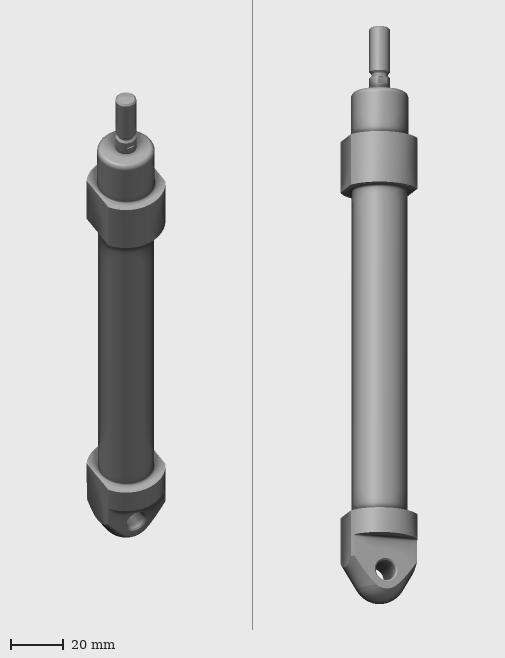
import cadquery as cq
import math

total_height = 225.8
block_radius = 15.02
front_flat = 12.5
back_flat = 13.5

rear_shoulder_z = 24.2
rear_block_top_z = 33.9
head_block_bottom_z = 161.7
head_block_top_z = 181.5
nose_top_z = 200.3

tube_diameter = 21.2
nose_diameter = 22.0
nose_fillet = 2.0
block_root_fillet = 0.7

tang_thickness = 16.0
tang_root_fillet = 0.7
dome_radius = 10.2
cone_half_angle = math.radians(30)
pivot_z = 11.3
pivot_diameter = 8.0
pivot_mouth_diameter = 9.0

rod_diameter = 8.0
rod_tip_chamfer = 0.7
groove_diameter = 6.3
groove_bottom_z = 206.0
groove_top_z = 208.5
wrench_flat_width = 7.0
wrench_flat_bottom_z = 203.2


def disc(diameter, bottom_z, top_z):
    """Round bar on the Z axis."""
    return cq.Workplane("XY").workplane(offset=bottom_z).circle(diameter / 2).extrude(top_z - bottom_z)


def box_between(width, bottom_z, top_z):
    """Slab of the given X width that reaches from one Y flat to the other."""
    return (
        cq.Workplane("XY")
        .workplane(offset=bottom_z)
        .center(0, (back_flat - front_flat) / 2)
        .rect(width, front_flat + back_flat)
        .extrude(top_z - bottom_z)
    )


def flatted_block(bottom_z, top_z):
    """Round block with a flat on its -Y and +Y sides."""
    slab = box_between(2 * block_radius, bottom_z, top_z)
    return disc(2 * block_radius, bottom_z, top_z).intersect(slab)


def domed_blank():
    """Block-sized bar whose lower end is a cone rounded off by a tangent sphere."""
    tangent_r = dome_radius * math.cos(cone_half_angle)
    tangent_z = dome_radius * (1 - math.sin(cone_half_angle))
    cone_top_z = tangent_z + (block_radius - tangent_r) / math.tan(cone_half_angle)
    mid_angle = (math.pi / 2 - cone_half_angle) / 2
    arc_middle = (dome_radius * math.sin(mid_angle), dome_radius * (1 - math.cos(mid_angle)))
    return (
        cq.Workplane("XZ")
        .moveTo(0, 0)
        .threePointArc(arc_middle, (tangent_r, tangent_z))
        .lineTo(block_radius, cone_top_z)
        .lineTo(block_radius, rear_block_top_z)
        .lineTo(0, rear_block_top_z)
        .close()
        .revolve(360, (0, 0), (0, 1))
    )


def tang_slab():
    """Tang cross-section with concave fillets where it meets the rear block."""
    half = tang_thickness / 2
    root = half + tang_root_fillet
    fillet_bottom_z = rear_shoulder_z - tang_root_fillet
    bulge = tang_root_fillet * (1 - math.sqrt(0.5))
    return (
        cq.Workplane("XZ", origin=(0, back_flat, 0))
        .moveTo(-half, 0)
        .lineTo(half, 0)
        .lineTo(half, fillet_bottom_z)
        .threePointArc((half + bulge, rear_shoulder_z - bulge), (root, rear_shoulder_z))
        .lineTo(-root, rear_shoulder_z)
        .threePointArc((-half - bulge, rear_shoulder_z - bulge), (-half, fillet_bottom_z))
        .close()
        .extrude(front_flat + back_flat)
    )


def pivot_hole():
    """Cross hole along X with a chamfered mouth on each side of the tang."""
    chamfer = (pivot_mouth_diameter - pivot_diameter) / 2
    half = tang_thickness / 2
    return (
        cq.Workplane("XY")
        .moveTo(0, -half)
        .lineTo(pivot_mouth_diameter / 2, -half)
        .lineTo(pivot_diameter / 2, chamfer - half)
        .lineTo(pivot_diameter / 2, half - chamfer)
        .lineTo(pivot_mouth_diameter / 2, half)
        .lineTo(0, half)
        .close()
        .revolve(360, (0, 0), (0, 1))
        .rotate((0, 0, 0), (0, 0, 1), 90)
        .translate((0, 0, pivot_z))
    )


def root_fillet(bar_diameter, block_face_z, side):
    """Concave ring between a round bar and a block face; side is +1 above the face, -1 below."""
    bar_r = bar_diameter / 2
    bulge = block_root_fillet * (1 - math.sqrt(0.5))
    return (
        cq.Workplane("XZ")
        .moveTo(0, block_face_z)
        .lineTo(bar_r + block_root_fillet, block_face_z)
        .threePointArc(
            (bar_r + bulge, block_face_z + side * bulge),
            (bar_r, block_face_z + side * block_root_fillet),
        )
        .lineTo(0, block_face_z + side * block_root_fillet)
        .close()
        .revolve(360, (0, 0), (0, 1))
    )


def make_cylinder():
    """Tube with its rear tang, head block and nose, bored for the rod."""
    tang = domed_blank().intersect(tang_slab())
    rear_block = flatted_block(rear_shoulder_z, rear_block_top_z)
    tube = disc(tube_diameter, rear_block_top_z, head_block_bottom_z)
    head_block = flatted_block(head_block_bottom_z, head_block_top_z)
    nose = disc(nose_diameter, head_block_top_z, nose_top_z).faces(">Z").edges().fillet(nose_fillet)
    body = tang.union(rear_block).union(tube).union(head_block).union(nose)
    roots = [
        root_fillet(nose_diameter, head_block_top_z, 1),
        root_fillet(tube_diameter, head_block_bottom_z, -1),
        root_fillet(tube_diameter, rear_block_top_z, 1),
    ]
    for root in roots:
        body = body.union(root)
    rod_bore = disc(rod_diameter, head_block_bottom_z, nose_top_z)
    return body.cut(pivot_hole()).cut(rod_bore)


def thread_groove():
    """Ring cut below the thread, with both walls sloped at 45 degrees."""
    outer = rod_diameter / 2
    inner = groove_diameter / 2
    return (
        cq.Workplane("XZ")
        .moveTo(outer, groove_bottom_z)
        .lineTo(inner, groove_bottom_z + (outer - inner))
        .lineTo(inner, groove_top_z - (outer - inner))
        .lineTo(outer, groove_top_z)
        .close()
        .revolve(360, (0, 0), (0, 1))
    )


def make_rod():
    """Piston rod with a chamfered tip, a groove and two wrench flats."""
    rod = disc(rod_diameter, head_block_bottom_z, total_height).faces(">Z").edges().chamfer(rod_tip_chamfer)
    rod = rod.cut(thread_groove())
    flat_zone = disc(rod_diameter, wrench_flat_bottom_z, groove_bottom_z)
    flat_slab = box_between(wrench_flat_width, wrench_flat_bottom_z, groove_bottom_z)
    return rod.cut(flat_zone.cut(flat_slab))


cylinder = make_cylinder()
rod = make_rod()

result = cq.Compound.makeCompound([cylinder.val(), rod.val()])